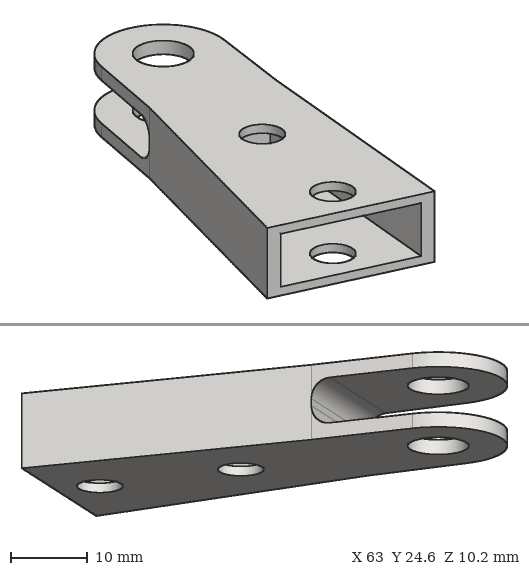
import cadquery as cq
import math

length = 63.0
height = 10.16
eye_radius = 9.0
end_x = length - eye_radius

knee_x = 14.0
knee_half_width = 9.29
rear_width = 24.59
rear_left_y = 11.84
rear_right_y = rear_left_y - rear_width

fork_thickness = 2.0
slot_height = height - 2 * fork_thickness
slot_corner_radius = 2.6

skin_thickness = 1.27
wall_thickness = 2.0
web_thickness = 2.0

pivot_diameter = 8.0
bolt_diameter = 6.0
bolt_positions = [28.0, 48.0]

clearance = 1.0


def tangent_point():
    """Point where a line from the +Y knee touches the eye circle."""
    knee_distance = math.hypot(knee_x, knee_half_width)
    angle = math.atan2(knee_half_width, knee_x) + math.acos(eye_radius / knee_distance)
    return eye_radius * math.cos(angle), eye_radius * math.sin(angle)


def make_body():
    tangent_x, tangent_y = tangent_point()
    return (
        cq.Workplane("XY")
        .moveTo(tangent_x, -tangent_y)
        .lineTo(knee_x, -knee_half_width)
        .lineTo(end_x, rear_right_y)
        .lineTo(end_x, rear_left_y)
        .lineTo(knee_x, knee_half_width)
        .lineTo(tangent_x, tangent_y)
        .threePointArc((-eye_radius, 0), (tangent_x, -tangent_y))
        .close()
        .extrude(height)
    )


def make_slot():
    """Full-width slot between the fork plates, with rounded inner corners."""
    slot_start = -eye_radius - clearance
    return (
        cq.Workplane("XY")
        .box(knee_x - slot_start, rear_width, slot_height, centered=(False, True, False))
        .translate((slot_start, 0, fork_thickness))
        .edges("|Y and >X")
        .fillet(slot_corner_radius)
    )


def inner_wall_y(x, rear_y):
    """Y of a cavity wall at x, parallel to the outer side that ends at rear_y."""
    side = math.copysign(1, rear_y)
    slope = (rear_y - side * knee_half_width) / (end_x - knee_x)
    outer_y = side * knee_half_width + slope * (x - knee_x)
    return outer_y - side * wall_thickness * math.hypot(1, slope)


def make_cavity():
    """Tapered cavity behind the slot web, running out through the rear end."""
    front_x = knee_x + web_thickness
    rear_x = end_x + clearance
    return (
        cq.Workplane("XY", origin=(0, 0, skin_thickness))
        .moveTo(front_x, inner_wall_y(front_x, rear_right_y))
        .lineTo(rear_x, inner_wall_y(rear_x, rear_right_y))
        .lineTo(rear_x, inner_wall_y(rear_x, rear_left_y))
        .lineTo(front_x, inner_wall_y(front_x, rear_left_y))
        .close()
        .extrude(height - 2 * skin_thickness)
    )


def make_hole(x, diameter):
    return cq.Workplane("XY").center(x, 0).circle(diameter / 2).extrude(height)


result = make_body().cut(make_slot()).cut(make_cavity())
result = result.cut(make_hole(0, pivot_diameter))
for bolt_x in bolt_positions:
    result = result.cut(make_hole(bolt_x, bolt_diameter))